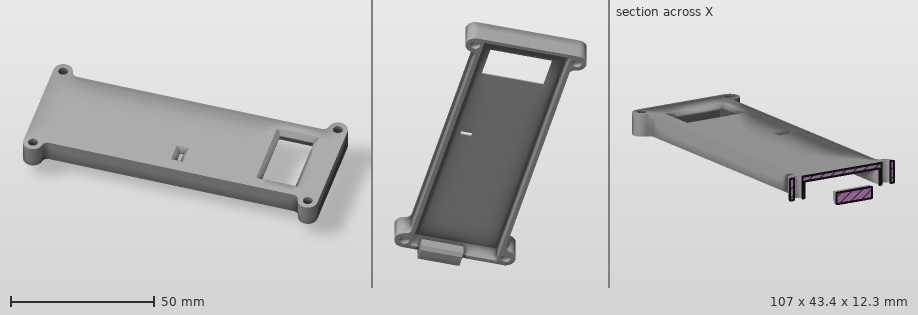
import cadquery as cq
import math

length = 107.0
overall_width = 43.4
body_height = 8.0
overall_height = 12.3

body_width = 33.9
lug_diameter = 7.0
lug_hole_diameter = 3.4
blend_radius = 2.0

wall = 1.5
top_thickness = 2.0

bevel = 1.6
window_length = 12.2
window_width = 22.3
window_x = 37.2
slot_length = 1.4
slot_width = 4.0
slot_x = 0.7
slot_y = -8.9

foot_length = 5.6
foot_width = 15.0
foot_y = -5.0
foot_chamfer = 1.2

lug_radius = lug_diameter / 2
lug_x = length / 2 - lug_radius
lug_y = overall_width / 2 - lug_radius
half_body_width = body_width / 2
foot_height = overall_height - body_height


def corner_lug(side_x, side_y):
    """Round lug at one corner, blended into the long side by a tangent concave arc."""
    blend_y = half_body_width + blend_radius
    centre_distance = lug_radius + blend_radius
    blend_x = lug_x - math.sqrt(centre_distance**2 - (blend_y - lug_y) ** 2)
    touch_fraction = lug_radius / centre_distance
    touch = (
        lug_x + touch_fraction * (blend_x - lug_x),
        lug_y + touch_fraction * (blend_y - lug_y),
    )
    middle_angle = (math.atan2(touch[1] - blend_y, touch[0] - blend_x) - math.pi / 2) / 2
    blend_middle = (
        blend_x + blend_radius * math.cos(middle_angle),
        blend_y + blend_radius * math.sin(middle_angle),
    )

    def place(point):
        return (side_x * point[0], side_y * point[1])

    inner_y = half_body_width - wall
    return (
        cq.Workplane("XY")
        .moveTo(*place((blend_x, inner_y)))
        .lineTo(*place((blend_x, half_body_width)))
        .threePointArc(place(blend_middle), place(touch))
        .threePointArc(place((lug_x, lug_y + lug_radius)), place((length / 2, lug_y)))
        .lineTo(*place((length / 2, inner_y)))
        .close()
        .extrude(-body_height)
    )


def bevelled_opening(size_x, size_y, x, y):
    """Cutter for an opening that widens by the bevel on every side at the top face."""
    straight = cq.Workplane("XY").center(x, y).rect(size_x, size_y).extrude(-body_height)
    flare = (
        cq.Workplane("XY")
        .center(x, y)
        .rect(size_x + 2 * bevel, size_y + 2 * bevel)
        .workplane(offset=-bevel)
        .rect(size_x, size_y)
        .loft(ruled=True)
    )
    return straight.union(flare)


def foot():
    """Block hanging from the -X end, chamfered along its lower inner edge."""
    return (
        cq.Workplane("XY")
        .box(foot_length, foot_width, foot_height, centered=(False, True, False))
        .edges(">X and <Z")
        .chamfer(foot_chamfer)
        .translate((-length / 2, foot_y, -overall_height))
    )


body = cq.Workplane("XY").rect(length, body_width).extrude(-body_height)
for side_x in (-1, 1):
    for side_y in (-1, 1):
        body = body.union(corner_lug(side_x, side_y))

cavity = (
    cq.Workplane("XY", origin=(0, 0, -top_thickness))
    .rect(length - 2 * wall, body_width - 2 * wall)
    .extrude(top_thickness - body_height)
)
body = body.cut(cavity)

screw_holes = (
    cq.Workplane("XY")
    .rect(2 * lug_x, 2 * lug_y, forConstruction=True)
    .vertices()
    .circle(lug_hole_diameter / 2)
    .extrude(-body_height)
)
body = body.cut(screw_holes)

body = body.cut(bevelled_opening(window_length, window_width, window_x, 0))
body = body.cut(bevelled_opening(slot_length, slot_width, slot_x, slot_y))

result = body.union(foot())